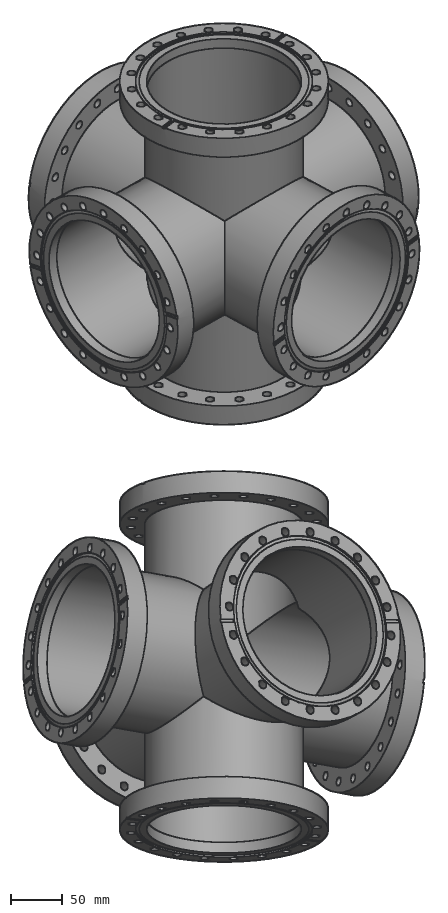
import cadquery as cq

LENGTH = 333.5
FACE_HEIGHT = LENGTH / 2

BORE_DIAMETER = 150.0
TUBE_WALL = 2.0
TUBE_DIAMETER = BORE_DIAMETER + 2 * TUBE_WALL

FLANGE_DIAMETER = 202.5
FLANGE_THICKNESS = 22.0
FLANGE_BACK = FACE_HEIGHT - FLANGE_THICKNESS
LIP_DEPTH = 11.7
TUBE_END = FACE_HEIGHT - LIP_DEPTH

RECESS_DIAMETER = 171.7
RECESS_DEPTH = 2.0
KNIFE_DIAMETER = 164.7
LAND_DEPTH = 0.85

BOLT_COUNT = 20
BOLT_CIRCLE_DIAMETER = 181.0
BOLT_HOLE_DIAMETER = 8.5
BOLT_PITCH_ANGLE = 360 / BOLT_COUNT

GROOVE_WIDTH = 3.0
GROOVE_DEPTH = 1.0
GROOVE_OVERRUN = 0.7
GROOVE_ANGLES = [90 + BOLT_PITCH_ANGLE / 2, 270 + BOLT_PITCH_ANGLE / 2]

Y_AXIS = cq.Vector(0, 1, 0)
Z_AXIS = cq.Vector(0, 0, 1)
ORIGIN = cq.Vector(0, 0, 0)


def crossed_cylinders(diameter, length):
    """Three centred cylinders along X, Y and Z, joined into one solid."""
    crossed = cq.Workplane("XY").circle(diameter / 2).extrude(length / 2, both=True)
    for plane in ("YZ", "XZ"):
        crossed = crossed.union(cq.Workplane(plane).circle(diameter / 2).extrude(length / 2, both=True))
    return crossed


def make_cross():
    """Six-way tube whose ends sit in the flange sockets."""
    outside = crossed_cylinders(TUBE_DIAMETER, 2 * TUBE_END)
    inside = crossed_cylinders(BORE_DIAMETER, LENGTH)
    return outside.cut(inside).val()


def flange_ring():
    """Turned flange facing +Z: tube socket at the back, knife-edge recess in the face."""
    profile = [
        (BORE_DIAMETER / 2, TUBE_END),
        (TUBE_DIAMETER / 2, TUBE_END),
        (TUBE_DIAMETER / 2, FLANGE_BACK),
        (FLANGE_DIAMETER / 2, FLANGE_BACK),
        (FLANGE_DIAMETER / 2, FACE_HEIGHT),
        (RECESS_DIAMETER / 2, FACE_HEIGHT),
        (RECESS_DIAMETER / 2, FACE_HEIGHT - RECESS_DEPTH),
        (KNIFE_DIAMETER / 2, FACE_HEIGHT - LAND_DEPTH),
        (BORE_DIAMETER / 2, FACE_HEIGHT - LAND_DEPTH),
    ]
    return cq.Workplane("XZ").polyline(profile).close().revolve(360, (0, 0, 0), (0, 1, 0))


def bolt_holes():
    return (
        cq.Workplane("XY", origin=(0, 0, FLANGE_BACK))
        .polarArray(BOLT_CIRCLE_DIAMETER / 2, 0, 360, BOLT_COUNT)
        .circle(BOLT_HOLE_DIAMETER / 2)
        .extrude(FLANGE_THICKNESS)
    )


def leak_groove(angle):
    """Cutter running from the recess wall out through the flange rim."""
    inner_end = RECESS_DIAMETER / 2 - GROOVE_OVERRUN
    outer_end = FLANGE_DIAMETER / 2 + GROOVE_OVERRUN
    return (
        cq.Workplane("XY", origin=(0, 0, FACE_HEIGHT))
        .center((inner_end + outer_end) / 2, 0)
        .rect(outer_end - inner_end, GROOVE_WIDTH)
        .extrude(-GROOVE_DEPTH)
        .rotate(ORIGIN, Z_AXIS, angle)
    )


def make_flange():
    """Flange on the +Z end of the cross."""
    flange = flange_ring().cut(bolt_holes())
    for angle in GROOVE_ANGLES:
        flange = flange.cut(leak_groove(angle))
    return flange.val()


cross = make_cross()

top_flange = make_flange()
flanges = [top_flange.rotate(ORIGIN, Y_AXIS, turn) for turn in (0, 90, 180, 270)]
left_flange = flanges[-1]
flanges += [left_flange.rotate(ORIGIN, Z_AXIS, turn) for turn in (90, 270)]

result = cq.Compound.makeCompound([cross, *flanges])